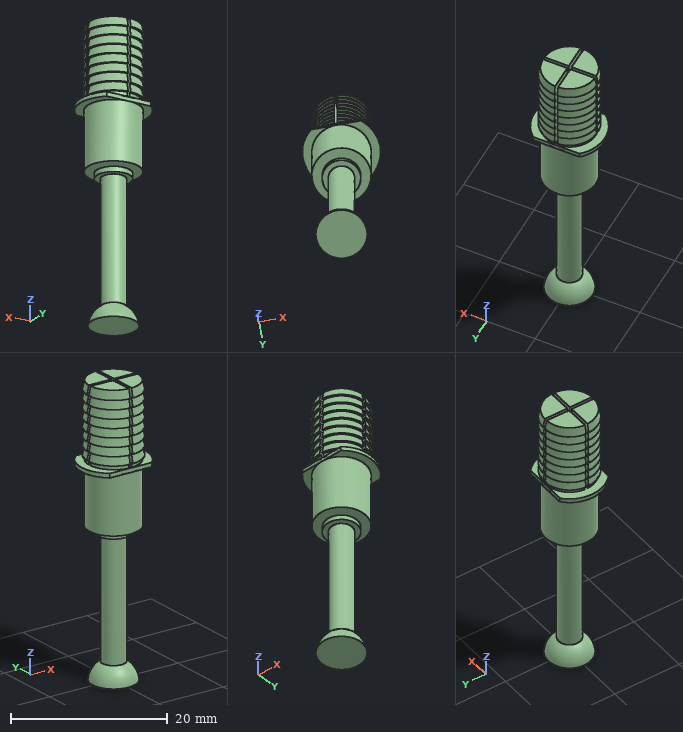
import cadquery as cq
import math

TOTAL_HEIGHT = 41.2
FLANGE_TOP = 30.3
FLANGE_THICKNESS = 0.6
BODY_BOTTOM = 21.2
COLLAR_TOP = 21.0
COLLAR_BOTTOM = 20.25
HEAD_HEIGHT = 2.6

HEAD_RADIUS = 3.3
STEM_RADIUS = 1.7
COLLAR_RADIUS = 2.47
BODY_RADIUS = 3.8
FLANGE_DIAMETER = 10.0
FLANGE_RADIUS = FLANGE_DIAMETER / 2
BARB_ROOT_RADIUS = 3.7
BARB_TIP_RADIUS = 4.0

BARB_COUNT = 8
BARB_STACK_HEIGHT = 10.3
BARB_PITCH = BARB_STACK_HEIGHT / BARB_COUNT
SLOT_WIDTH = 0.4


def cylinder(radius, bottom, top):
    return cq.Workplane("XY").workplane(offset=bottom).circle(radius).extrude(top - bottom)


def domed_head():
    """Ball cap, slightly less than half a ball, whose upper edge meets the stem surface."""
    arc_centre = (HEAD_HEIGHT**2 + STEM_RADIUS**2 - HEAD_RADIUS**2) / (2 * HEAD_HEIGHT)
    ball_radius = math.hypot(HEAD_RADIUS, arc_centre)
    ball = cq.Workplane("XY").workplane(offset=arc_centre).sphere(ball_radius)
    return ball.intersect(cylinder(HEAD_RADIUS, 0, HEAD_HEIGHT))


def flange():
    """Thin disc with two flats in line with the sides of the body."""
    flange_bottom = FLANGE_TOP - FLANGE_THICKNESS
    disc = cylinder(FLANGE_RADIUS, flange_bottom, FLANGE_TOP)
    flats = (
        cq.Workplane("XY")
        .workplane(offset=flange_bottom)
        .rect(FLANGE_DIAMETER, 2 * BODY_RADIUS)
        .extrude(FLANGE_THICKNESS)
    )
    return disc.intersect(flats)


def barbed_plug():
    """Stack of barbs that widen downward, split into quarters by two crossed slots."""
    outline = cq.Workplane("XZ").moveTo(0, TOTAL_HEIGHT).lineTo(BARB_ROOT_RADIUS, TOTAL_HEIGHT)
    for barb in range(1, BARB_COUNT + 1):
        barb_bottom = TOTAL_HEIGHT - barb * BARB_PITCH
        outline = outline.lineTo(BARB_TIP_RADIUS, barb_bottom).lineTo(BARB_ROOT_RADIUS, barb_bottom)
    plug = outline.lineTo(BARB_ROOT_RADIUS, FLANGE_TOP).lineTo(0, FLANGE_TOP).close().revolve()

    slot_length = FLANGE_DIAMETER
    slot_base = cq.Workplane("XY").workplane(offset=FLANGE_TOP)
    slot_depth = TOTAL_HEIGHT - FLANGE_TOP
    plug = plug.cut(slot_base.rect(slot_length, SLOT_WIDTH).extrude(slot_depth))
    return plug.cut(slot_base.rect(SLOT_WIDTH, slot_length).extrude(slot_depth))


stem = cylinder(STEM_RADIUS, 0, BODY_BOTTOM)
collar = cylinder(COLLAR_RADIUS, COLLAR_BOTTOM, COLLAR_TOP)
body = cylinder(BODY_RADIUS, BODY_BOTTOM, FLANGE_TOP)

result = domed_head().union(stem).union(collar).union(body).union(flange()).union(barbed_plug())